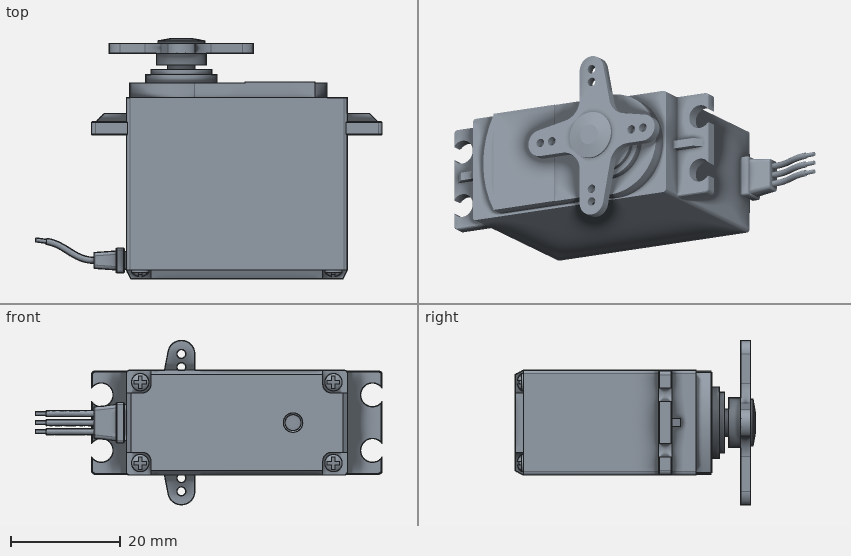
import cadquery as cq
import math


case_length = 40.3
case_height = 19.2
case_edge_radius = 0.65
case_rear = 1.6
case_front = 33.05
case_end = case_length / 2
case_side = case_height / 2

cover_inset = 0.8
screw_end_inset = 2.5
screw_side_inset = 2.2
screw_x = case_end - screw_end_inset
screw_z = case_side - screw_side_inset
screw_head_radius = 1.6
screw_head_rise = 1.2
screw_rim_height = 0.4
screw_pocket_reach = 1.95
screw_recess_length = 2.3
screw_recess_width = 0.65
screw_recess_depth = 0.75
dimple_x = 10.25
dimple_radius = 1.8
dimple_floor_radius = 1.45
dimple_depth = 0.25

ear_end = 26.5
ear_side = 9.4
ear_rear = 26.2
ear_front = 28.65
ear_corner_radius = 0.7
ear_edge_chamfer = 0.2
ear_hole_x = 24.75
ear_hole_z = 5.05
ear_hole_radius = 2.15
rib_width = 1.45
rib_top = 30.2
rib_foot_x = 25.7
rib_crest_x = 24.2

shaft_x = -10.1
housing_front = 35.75
housing_radius = 9.4
housing_side = 9.1
housing_block_end = 14.25
housing_tip = 16.45
pad_start = 1.45
pad_rise = 0.2
collar_radius = 6.5
collar_front = 37.3
step_radius = 5.6
step_front = 38.2
shaft_radius = 2.5

hub_radius = 4.55
hub_rear = 39.0
horn_rear = 41.15
horn_front = 42.95
tip_radius = 2.45
long_reach = 12.5
short_reach = 10.7
arm_taper = 11
horn_fillet = 3.7
horn_hole_diameter = 1.6
horn_hole_pitch = 2.4
button_radius = 4.3
button_rim = 43.4
button_crown_radius = 1.85
button_front = 43.85

cable_y = 3.35
neck_height = 3.3
neck_width = 6.6
flange_inner = 20.5
flange_outer = 22.1
flange_height = 4.55
flange_width = 7.35
flange_edge_radius = 0.4
flange_chamfer = 0.2
boot_end = 26.1
boot_base_height = 3.5
boot_tip_height = 2.9
boot_base_width = 6.6
boot_tip_width = 5.7
boot_corner_radius = 0.65
boot_tip_radius = 0.2
wire_pitch = 1.65
wire_radius = 0.6
core_radius = 0.4
wire_end = (-34.75, 6.85)
wire_reach = 36.75
wire_end_angle = 8

OVERLAP = 0.3


def facing(y):
    """Workplane in X and Z at the given Y; negative extrusion goes toward +Y."""
    return cq.Workplane("XZ", origin=(0, y, 0))


def disc(x, y_start, y_end, radius):
    return facing(y_start).center(x, 0).circle(radius).extrude(y_start - y_end)


def block(x_range, y_range, z_range):
    sizes = [high - low for low, high in (x_range, y_range, z_range)]
    return cq.Workplane("XY").box(*sizes, centered=False).translate((x_range[0], y_range[0], z_range[0]))


def make_case():
    case = facing(case_rear).rect(case_length, case_height).extrude(case_rear - case_front)
    return case.edges("|Y").fillet(case_edge_radius)


def make_cover():
    cover = (
        facing(case_rear)
        .rect(case_length, case_height)
        .workplane(offset=case_rear)
        .rect(case_length - 2 * cover_inset, case_height - 2 * cover_inset)
        .loft(ruled=True)
    )
    pocket = block(
        (screw_x - screw_pocket_reach, case_end + OVERLAP),
        (-OVERLAP, case_rear),
        (screw_z - screw_pocket_reach, case_side + OVERLAP),
    )
    pocket = pocket.edges("|Y and <X and <Z").fillet(screw_pocket_reach - OVERLAP)
    dimple = cq.Workplane("XY").add(
        cq.Solid.makeCone(
            dimple_radius,
            dimple_floor_radius,
            dimple_depth,
            pnt=cq.Vector(dimple_x, 0, 0),
            dir=cq.Vector(0, 1, 0),
        )
    )
    upper_pockets = pocket.union(pocket.mirror("YZ"))
    return cover.cut(upper_pockets).cut(upper_pockets.mirror("XY")).cut(dimple)


def make_screw(x, z):
    """Domed screw head with a cross recess, rising toward -Y."""
    dome_rise = screw_head_rise - screw_rim_height
    dome_radius = (screw_head_radius**2 + dome_rise**2) / (2 * dome_rise)
    dome_centre = dome_radius - screw_head_rise
    half_angle = math.asin(screw_head_radius / dome_radius) / 2
    dome_middle = (
        dome_radius * math.sin(half_angle),
        dome_centre - dome_radius * math.cos(half_angle),
    )
    head = (
        cq.Workplane("XY")
        .moveTo(0, OVERLAP)
        .lineTo(screw_head_radius, OVERLAP)
        .lineTo(screw_head_radius, -screw_rim_height)
        .threePointArc(dome_middle, (0, -screw_head_rise))
        .close()
        .revolve(360, (0, 0, 0), (0, 1, 0))
    )
    for length, width in (
        (screw_recess_length, screw_recess_width),
        (screw_recess_width, screw_recess_length),
    ):
        slot = facing(screw_recess_depth - screw_head_rise).rect(length, width).extrude(screw_head_rise)
        head = head.cut(slot)
    return head.translate((x, case_rear, z))


def make_ear():
    """Ear on the +X end, with two open screw holes and a stiffening rib."""
    ear = block((case_end - OVERLAP, ear_end), (ear_rear, ear_front), (-ear_side, ear_side))
    ear = ear.edges("|Y and >X").fillet(ear_corner_radius)
    ear = ear.faces("<Y or >Y").edges("not <X").chamfer(ear_edge_chamfer)
    holes = (
        facing(ear_rear)
        .pushPoints([(ear_hole_x, ear_hole_z), (ear_hole_x, -ear_hole_z)])
        .circle(ear_hole_radius)
        .extrude(ear_rear - ear_front)
    )
    rib = (
        cq.Workplane("XY")
        .moveTo(case_end - OVERLAP, ear_front - OVERLAP)
        .lineTo(rib_foot_x, ear_front - OVERLAP)
        .lineTo(rib_foot_x, ear_front)
        .lineTo(rib_crest_x, rib_top)
        .lineTo(case_end - OVERLAP, rib_top)
        .close()
        .extrude(rib_width / 2, both=True)
    )
    return ear.cut(holes).union(rib)


def make_housing():
    """Raised gear housing: a round end about the shaft and a long bow-ended block."""
    base = case_front - OVERLAP
    round_end = disc(shaft_x, base, housing_front, housing_radius)
    long_block = (
        facing(base)
        .moveTo(shaft_x, -housing_side)
        .lineTo(housing_block_end, -housing_side)
        .threePointArc((housing_tip, 0), (housing_block_end, housing_side))
        .lineTo(shaft_x, housing_side)
        .close()
        .extrude(base - housing_front)
    )
    pad = block(
        (pad_start, housing_block_end),
        (housing_front - OVERLAP, housing_front + pad_rise),
        (-housing_side, housing_side),
    )
    collar = disc(shaft_x, base, collar_front, collar_radius)
    step = disc(shaft_x, base, step_front, step_radius)
    shaft = disc(shaft_x, base, horn_rear, shaft_radius)
    return round_end.union(long_block).union(pad).union(collar).union(step).union(shaft)


def make_arm(reach):
    """Arm along +Z from the horn axis, with one straight side and one side widening to the root."""
    taper = math.radians(arm_taper)
    taper_start_x = -tip_radius * math.cos(taper)
    taper_start_z = reach + tip_radius * math.sin(taper)
    root_x = taper_start_x - taper_start_z * math.tan(taper)
    return (
        facing(horn_rear)
        .moveTo(tip_radius, 0)
        .lineTo(tip_radius, reach)
        .threePointArc((0, reach + tip_radius), (taper_start_x, taper_start_z))
        .lineTo(root_x, 0)
        .close()
        .extrude(horn_rear - horn_front)
    )


def make_horn():
    up_arm = make_arm(long_reach)
    side_arm = make_arm(short_reach).mirror("YZ").rotate((0, 0, 0), (0, 1, 0), -90)
    horn = up_arm.union(up_arm.mirror("XY")).union(side_arm).union(side_arm.mirror("YZ"))
    inner_corners = cq.selectors.BoxSelector(
        (-hub_radius, horn_rear - OVERLAP, -hub_radius), (hub_radius, horn_front + OVERLAP, hub_radius)
    )
    horn = horn.edges("|Y").edges(inner_corners).fillet(horn_fillet)
    hole_points = []
    for side in (-1, 1):
        for inset in (0, horn_hole_pitch):
            hole_points.append((0, side * (long_reach - inset)))
            hole_points.append((side * (short_reach - inset), 0))
    holes = (
        facing(horn_rear)
        .pushPoints(hole_points)
        .circle(horn_hole_diameter / 2)
        .extrude(horn_rear - horn_front)
    )
    horn = horn.cut(holes)
    button = (
        cq.Workplane("XY")
        .moveTo(0, hub_rear)
        .lineTo(hub_radius, hub_rear)
        .lineTo(hub_radius, horn_rear)
        .lineTo(button_radius, horn_rear)
        .lineTo(button_radius, button_rim)
        .lineTo(button_crown_radius, button_front)
        .lineTo(0, button_front)
        .close()
        .revolve(360, (0, 0, 0), (0, 1, 0))
    )
    return horn.union(button).translate((shaft_x, 0, 0))


def make_grommet():
    """Strain relief on the -X end: neck, flange and tapering boot."""
    neck = block(
        (-flange_outer, -case_end + OVERLAP),
        (cable_y - neck_height / 2, cable_y + neck_height / 2),
        (-neck_width / 2, neck_width / 2),
    )
    flange = block(
        (-flange_outer, -flange_inner),
        (cable_y - flange_height / 2, cable_y + flange_height / 2),
        (-flange_width / 2, flange_width / 2),
    )
    flange = flange.edges("|X").fillet(flange_edge_radius).faces("<X or >X").chamfer(flange_chamfer)
    boot = (
        cq.Workplane("YZ", origin=(-flange_outer, cable_y, 0))
        .rect(boot_base_height, boot_base_width)
        .workplane(offset=flange_outer - boot_end)
        .rect(boot_tip_height, boot_tip_width)
        .loft(ruled=True)
    )
    boot = boot.edges("not (|Y or |Z)").fillet(boot_corner_radius).faces("<X").fillet(boot_tip_radius)
    return neck.union(flange).union(boot)


def make_wire(z):
    """Insulated wire in an S bend, with a bare core at its end."""
    angle = math.radians(wire_end_angle)
    end_direction = (-math.cos(angle), math.sin(angle))
    start = (-boot_end + OVERLAP, cable_y)
    path = cq.Workplane("XY", origin=(0, 0, z)).spline(
        [start, wire_end], tangents=[(-1, 0), end_direction]
    )
    insulation = cq.Workplane("YZ", origin=(*start, z)).circle(wire_radius).sweep(path)
    rim_overhang = core_radius * math.sin(angle)
    core_length = (wire_reach + wire_end[0] - rim_overhang) / math.cos(angle)
    core_plane = cq.Plane(origin=(*wire_end, z), xDir=(0, 0, 1), normal=(*end_direction, 0))
    core = cq.Workplane(core_plane).circle(core_radius).extrude(core_length)
    return insulation.union(core)


ear = make_ear()
result = make_case().union(make_cover()).union(ear).union(ear.mirror("YZ"))
for side in (-1, 1):
    for level in (-1, 1):
        result = result.union(make_screw(side * screw_x, level * screw_z))
result = result.union(make_housing()).union(make_horn()).union(make_grommet())
for wire in (-1, 0, 1):
    result = result.union(make_wire(wire * wire_pitch))